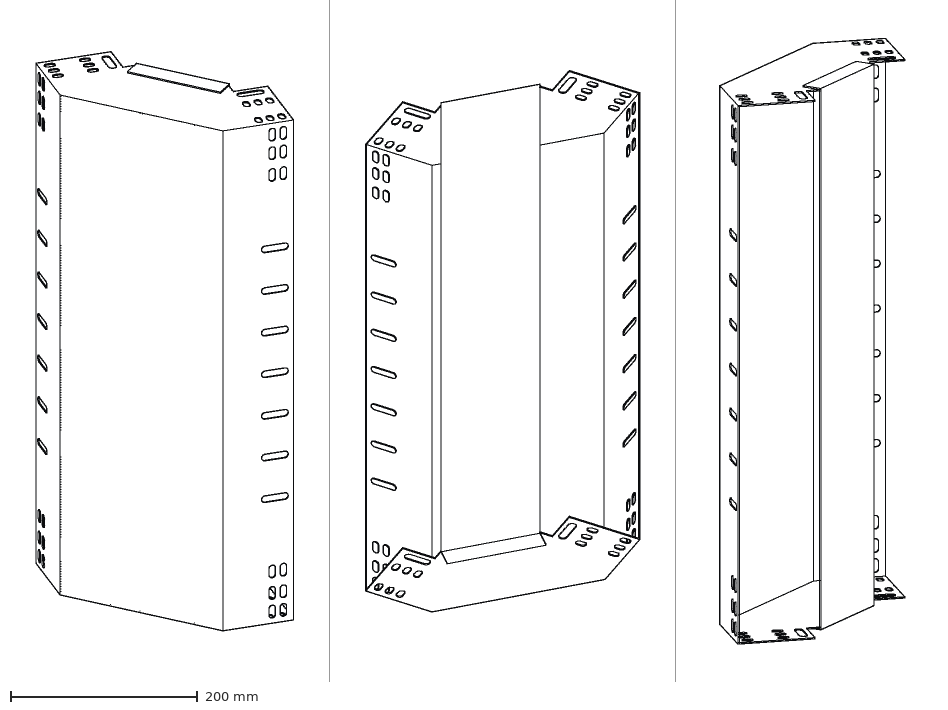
import cadquery as cq
import math

total_width = 308.0
total_height = 603.5
sheet = 1.5
tray_height = total_height - 2 * sheet

fold_angle = 45.0

back_width = 194.5
side_run = (total_width - back_width) / 2
corner_x = total_width / 2
corner_y = side_run
tip_y = 117.0
tip_x = corner_x - (tip_y - corner_y)
cover_width = 111.0
cover_back_y = 101.5
land_y = cover_back_y - sheet
notch_x = (tip_x - tip_y + cover_width / 2 + land_y) / 2
notch_y = notch_x + tip_y - tip_x

cover_lip = 22.5

narrow_slot_width = 7.0
wing_wide_slot_width = 9.0
panel_wide_slot_width = 8.0
wing_slot_length = 12.0
panel_slot_length = 15.0
wide_slot_length = 30.0
wing_slot_pitch = 13.0
panel_slot_pitch = 12.5

wing_slots_per_row = 3
panel_slots_per_row = 2

wing_slot_wall_gap = 9.0
wing_slot_rows = (12.5, 52.5)
wing_wide_slot = (75.5, 23.0)
panel_slot_edge_gap = 11.5
panel_slot_ends = (14.0, 36.0, 62.0)
panel_wide_slot_gap = 21.0
panel_wide_slot_span = 300.0
panel_wide_slot_count = 7
panel_wide_slot_pitch = panel_wide_slot_span / (panel_wide_slot_count - 1)

panel_cut_reach = 2 * sheet

SIDES = (-1, 1)
ENDS = (-1, 1)


def mirrored(points):
    """Close a half outline (X >= 0) with its mirror image."""
    return points + [(-x, y) for x, y in reversed(points)]


def folded_panels():
    """Back panel and both side panels, as one bent sheet of constant thickness."""
    square_step = sheet / math.sqrt(2)
    bend_shift = sheet * math.tan(math.radians(fold_angle / 2))
    half_outline = [
        (back_width / 2, 0),
        (corner_x, corner_y),
        (corner_x - square_step, corner_y + square_step),
        (back_width / 2 - bend_shift, sheet),
    ]
    return (
        cq.Workplane("XY")
        .workplane(offset=-tray_height / 2)
        .polyline(mirrored(half_outline))
        .close()
        .extrude(tray_height)
    )


def end_plate(end):
    """Flat plate that closes one end of the tray, with a wing at each side."""
    half_outline = [
        (back_width / 2, 0),
        (corner_x, corner_y),
        (tip_x, tip_y),
        (notch_x, notch_y),
        (cover_width / 2, land_y),
    ]
    return (
        cq.Workplane("XY")
        .workplane(offset=end * tray_height / 2)
        .polyline(mirrored(half_outline))
        .close()
        .extrude(-end * sheet)
    )


def wing_slots(side):
    """Cutters for the slots in the wings of one side, through both end plates."""
    wing = cq.Workplane(
        cq.Plane(
            origin=(side * corner_x, corner_y, -tray_height / 2),
            xDir=(-side, 1, 0),
            normal=(0, 0, 1),
        )
    )
    inward = side
    narrow_points = [
        (along, inward * (wing_slot_wall_gap + step * wing_slot_pitch))
        for along in wing_slot_rows
        for step in range(wing_slots_per_row)
    ]
    narrow = (
        wing.pushPoints(narrow_points)
        .slot2D(wing_slot_length, narrow_slot_width)
        .extrude(tray_height)
    )
    along, depth = wing_wide_slot
    wide = (
        wing.center(along, inward * depth)
        .slot2D(wide_slot_length, wing_wide_slot_width, 90)
        .extrude(tray_height)
    )
    return narrow, wide


def panel_slots(side):
    """Cutters for the slots in one side panel, square to it."""
    panel = cq.Workplane(
        cq.Plane(
            origin=(side * corner_x, corner_y, 0),
            xDir=(-side, -1, 0),
            normal=(side, -1, 0),
        )
    )
    narrow_points = [
        (panel_slot_edge_gap + step * panel_slot_pitch, end * (tray_height / 2 - from_end))
        for end in ENDS
        for from_end in panel_slot_ends
        for step in range(panel_slots_per_row)
    ]
    narrow = (
        panel.pushPoints(narrow_points)
        .slot2D(panel_slot_length, narrow_slot_width, 90)
        .extrude(panel_cut_reach, both=True)
    )
    wide = (
        panel.center(panel_wide_slot_gap, 0)
        .rarray(6, panel_wide_slot_pitch, 1, panel_wide_slot_count)
        .slot2D(wide_slot_length, panel_wide_slot_width)
        .extrude(panel_cut_reach, both=True)
    )
    return narrow, wide


def make_tray():
    tray = folded_panels()
    for end in ENDS:
        tray = tray.union(end_plate(end))
    for side in SIDES:
        for cutter in (*wing_slots(side), *panel_slots(side)):
            tray = tray.cut(cutter)
    return tray


def make_cover():
    """Flat strip across the open side, with a lip over each end plate."""
    outside = cq.Workplane("XY").box(cover_width, cover_lip, total_height)
    inside = cq.Workplane("XY").box(cover_width, cover_lip, tray_height)
    channel = outside.cut(inside.translate((0, -sheet, 0)))
    return channel.translate((0, cover_back_y - cover_lip / 2, 0))


tray = make_tray()
cover = make_cover()
result = cq.Compound.makeCompound([tray.val(), cover.val()])